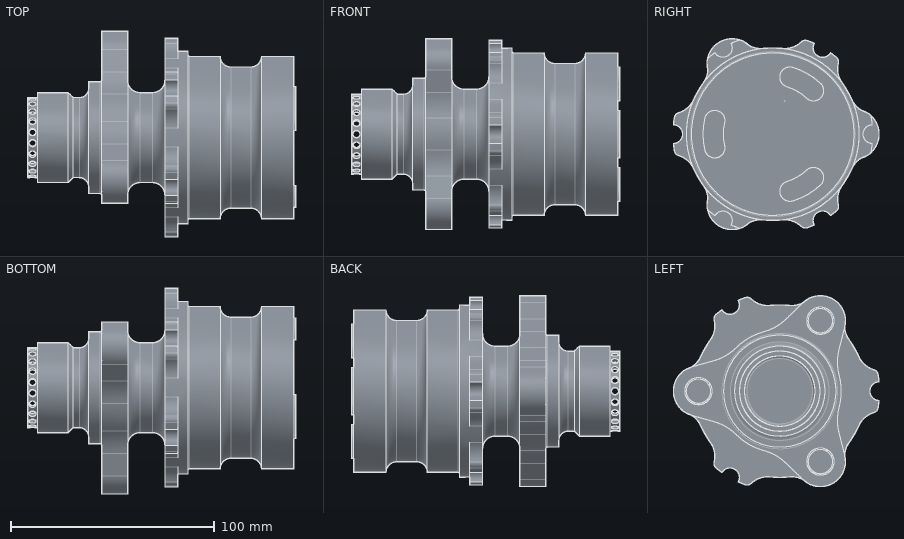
import cadquery as cq
import math

BARE_END = 4.9
SLEEVE_END = 20.0
HUB_START = 30.0
FLANGE_START = 36.5
FLANGE_END = 49.3
RING_START = 67.5
RING_END = 74.0
COLLAR_END = 79.0
GROOVE_START = 94.8
GROOVE_END = 115.0
BODY_END = 131.0
OVERALL_LENGTH = 132.03

BARE_RADIUS = 19.75
SLEEVE_RADIUS = 22.2
HUB_RADIUS = 27.6
COLLAR_RADIUS = 42.5
BARREL_RADIUS = 40.0

SLEEVE_NECK_FILLET = 4.5
HUB_FILLET = 0.8
WAIST_FILLET = 6.0
COLLAR_FILLET = 0.6
GROOVE_FILLET = 5.2
GROOVE_RADIUS = BARREL_RADIUS - GROOVE_FILLET

BORE_RADIUS = 17.3
BORE_DEPTH = FLANGE_START
BORE_FLOOR_FILLET = 1.2
RADIAL_HOLE_COUNT = 22
RADIAL_HOLE_DIAMETER = 3.4
RADIAL_HOLE_START_RADIUS = 14.0
RADIAL_HOLE_X = BARE_END / 2

LUG_COUNT = 3
LUG_CIRCLE_RADIUS = 40.0
LUG_RADIUS = 12.37
LUG_WEB_RADIUS = 30.25
LUG_BLEND_RADIUS = 25.0
LUG_BLEND_ANGLE = 45.0
LUG_HOLE_RADIUS = 6.0
LUG_HOLE_CHAMFER = 0.7
LUG_HOLE_DEPTH = 10.0

TOOTH_COUNT = 6
TOOTH_TIP_RADIUS = 49.12
TOOTH_ROOT_HALF_ANGLE = 23.7
TOOTH_FLANK_RADIUS = 11.7
TOOTH_CORNER_RADIUS = 3.0
TOOTH_NOTCH_RADIUS = 4.6
TOOTH_NOTCH_CIRCLE_RADIUS = 49.0

PAD_COUNT = 3
PAD_CIRCLE_RADIUS = 29.3
PAD_HALF_WIDTH = 5.0
PAD_HALF_ANGLE = 13.2


def polar(radius, angle, center=(0.0, 0.0)):
    """Point in the YZ plane at an angle measured from +Y towards +Z."""
    turn = math.radians(angle)
    return (center[0] + radius * math.cos(turn), center[1] + radius * math.sin(turn))


def spun(shape, angle):
    """Shape turned about the X axis."""
    return shape.rotate((0, 0, 0), (1, 0, 0), angle)


def around_axis(shape, count):
    """The shape joined with its evenly spaced copies about the X axis."""
    pattern = shape
    for index in range(1, count):
        pattern = pattern.union(spun(shape, index * 360 / count))
    return pattern


def section(x):
    """Workplane across the axis at station x, with local axes Y and Z."""
    return cq.Workplane("YZ", origin=(x, 0, 0))


def mirrored(point):
    """Point reflected across the local Y axis."""
    return (point[0], -point[1])


def heading(start, end):
    """Angle in degrees of the direction from start to end."""
    return math.degrees(math.atan2(end[1] - start[1], end[0] - start[0]))


def opening_angle(side_a, side_b, opposite):
    """Angle in degrees between two sides of a triangle, given the opposite side."""
    return math.degrees(math.acos((side_a**2 + side_b**2 - opposite**2) / (2 * side_a * side_b)))


def turned_body():
    """Stepped shaft, waist, collar and grooved barrel, revolved about X."""
    neck_cone_end = SLEEVE_END + SLEEVE_RADIUS - BARE_RADIUS
    bend = math.sqrt(0.5)

    def fillet_up(outline, x, radius, size):
        """Quarter fillet rising from the given radius to a wall at x on the +X side."""
        middle = (x - size + size * bend, radius + size - size * bend)
        return outline.lineTo(x - size, radius).threePointArc(middle, (x, radius + size))

    def fillet_down(outline, x, radius, size):
        """Quarter fillet from the point (x, radius + size), falling to the given radius."""
        middle = (x + size - size * bend, radius + size - size * bend)
        return outline.threePointArc(middle, (x + size, radius))

    outline = cq.Workplane("XY").lineTo(0, BARE_RADIUS)
    outline = outline.lineTo(BARE_END, BARE_RADIUS).lineTo(BARE_END, SLEEVE_RADIUS)
    outline = outline.lineTo(SLEEVE_END, SLEEVE_RADIUS).lineTo(neck_cone_end, BARE_RADIUS)
    outline = fillet_up(outline, HUB_START, BARE_RADIUS, SLEEVE_NECK_FILLET)
    outline = outline.lineTo(HUB_START, HUB_RADIUS)
    outline = fillet_up(outline, FLANGE_START, HUB_RADIUS, HUB_FILLET)
    outline = outline.lineTo(FLANGE_START, LUG_WEB_RADIUS).lineTo(FLANGE_END, LUG_WEB_RADIUS)
    outline = outline.lineTo(FLANGE_END, SLEEVE_RADIUS + WAIST_FILLET)
    outline = fillet_down(outline, FLANGE_END, SLEEVE_RADIUS, WAIST_FILLET)
    outline = fillet_up(outline, RING_START, SLEEVE_RADIUS, WAIST_FILLET)
    outline = outline.lineTo(RING_START, COLLAR_RADIUS).lineTo(COLLAR_END, COLLAR_RADIUS)
    outline = outline.lineTo(COLLAR_END, BARREL_RADIUS + COLLAR_FILLET)
    outline = fillet_down(outline, COLLAR_END, BARREL_RADIUS, COLLAR_FILLET)
    outline = outline.lineTo(GROOVE_START, BARREL_RADIUS)
    outline = fillet_down(outline, GROOVE_START, GROOVE_RADIUS, GROOVE_FILLET)
    outline = fillet_up(outline, GROOVE_END, GROOVE_RADIUS, GROOVE_FILLET)
    outline = outline.lineTo(BODY_END, BARREL_RADIUS).lineTo(BODY_END, 0).close()
    return outline.revolve(360, (0, 0, 0), (1, 0, 0))


def bore():
    """Blind bore with a rounded floor corner."""
    hole = section(0).circle(BORE_RADIUS).extrude(BORE_DEPTH)
    return hole.faces(">X").edges().fillet(BORE_FLOOR_FILLET)


def radial_holes():
    """Drills through the wall of the bare end, one of them pointing along -Y."""
    drill = (
        cq.Workplane("XZ", origin=(RADIAL_HOLE_X, -RADIAL_HOLE_START_RADIUS, 0))
        .circle(RADIAL_HOLE_DIAMETER / 2)
        .extrude(SLEEVE_RADIUS - RADIAL_HOLE_START_RADIUS)
    )
    return around_axis(drill, RADIAL_HOLE_COUNT)


def lug_flange():
    """Flange whose straight-sided lugs flow into the round web through concave arcs."""
    lug_center = (LUG_CIRCLE_RADIUS, 0.0)
    blend_center = polar(LUG_WEB_RADIUS + LUG_BLEND_RADIUS, LUG_BLEND_ANGLE)
    centers_distance = math.dist(lug_center, blend_center)
    side_tilt = math.degrees(math.acos((LUG_RADIUS + LUG_BLEND_RADIUS) / centers_distance))
    side_normal_angle = heading(lug_center, blend_center) - side_tilt
    blend_middle_angle = 180 + (LUG_BLEND_ANGLE + side_normal_angle) / 2

    lug_tangent = polar(LUG_RADIUS, side_normal_angle, lug_center)
    blend_start = polar(LUG_BLEND_RADIUS, side_normal_angle + 180, blend_center)
    blend_middle = polar(LUG_BLEND_RADIUS, blend_middle_angle, blend_center)
    web_tangent = polar(LUG_WEB_RADIUS, LUG_BLEND_ANGLE)

    thickness = FLANGE_END - FLANGE_START
    lug = (
        section(FLANGE_START)
        .moveTo(*mirrored(web_tangent))
        .threePointArc(mirrored(blend_middle), mirrored(blend_start))
        .lineTo(*mirrored(lug_tangent))
        .threePointArc((LUG_CIRCLE_RADIUS + LUG_RADIUS, 0), lug_tangent)
        .lineTo(*blend_start)
        .threePointArc(blend_middle, web_tangent)
        .lineTo(0, 0)
        .close()
        .extrude(thickness)
    )
    hole = section(FLANGE_START).center(*lug_center).circle(LUG_HOLE_RADIUS).extrude(LUG_HOLE_DEPTH)
    countersink = (
        section(FLANGE_START)
        .center(*lug_center)
        .circle(LUG_HOLE_RADIUS + LUG_HOLE_CHAMFER)
        .workplane(offset=LUG_HOLE_CHAMFER)
        .circle(LUG_HOLE_RADIUS)
        .loft(combine=True)
    )
    return around_axis(lug.cut(hole).cut(countersink), LUG_COUNT)


def toothed_ring():
    """Teeth with concave flanks, rounded tip corners and a round notch in each tip."""
    thickness = RING_END - RING_START
    to_flank = COLLAR_RADIUS + TOOTH_FLANK_RADIUS
    to_corner = TOOTH_TIP_RADIUS - TOOTH_CORNER_RADIUS
    flank_to_corner = TOOTH_FLANK_RADIUS + TOOTH_CORNER_RADIUS
    flank_center = polar(to_flank, TOOTH_ROOT_HALF_ANGLE)
    corner_angle = TOOTH_ROOT_HALF_ANGLE - opening_angle(to_flank, to_corner, flank_to_corner)
    corner_center = polar(to_corner, corner_angle)
    flank_end_angle = heading(flank_center, corner_center)
    flank_middle_angle = (TOOTH_ROOT_HALF_ANGLE - 180 + flank_end_angle) / 2
    corner_middle_angle = (corner_angle + flank_end_angle + 180) / 2

    root = polar(COLLAR_RADIUS, TOOTH_ROOT_HALF_ANGLE)
    flank_middle = polar(TOOTH_FLANK_RADIUS, flank_middle_angle, flank_center)
    flank_end = polar(TOOTH_FLANK_RADIUS, flank_end_angle, flank_center)
    corner_middle = polar(TOOTH_CORNER_RADIUS, corner_middle_angle, corner_center)
    tip_end = polar(TOOTH_TIP_RADIUS, corner_angle)

    tooth = (
        section(RING_START)
        .moveTo(*mirrored(root))
        .threePointArc(mirrored(flank_middle), mirrored(flank_end))
        .threePointArc(mirrored(corner_middle), mirrored(tip_end))
        .threePointArc((TOOTH_TIP_RADIUS, 0), tip_end)
        .threePointArc(corner_middle, flank_end)
        .threePointArc(flank_middle, root)
        .lineTo(0, 0)
        .close()
        .extrude(thickness)
    )
    notch = (
        section(RING_START)
        .center(TOOTH_NOTCH_CIRCLE_RADIUS, 0)
        .circle(TOOTH_NOTCH_RADIUS)
        .extrude(thickness)
    )
    return around_axis(tooth.cut(notch), TOOTH_COUNT)


def end_pads():
    """Curved slots raised from the end face, the first one centred on -Y."""
    outer_radius = PAD_CIRCLE_RADIUS + PAD_HALF_WIDTH
    inner_radius = PAD_CIRCLE_RADIUS - PAD_HALF_WIDTH
    first, last = 180 - PAD_HALF_ANGLE, 180 + PAD_HALF_ANGLE

    def rounded_end(angle, turn):
        """Outermost point of the round pad end at the given angle."""
        return polar(PAD_HALF_WIDTH, angle + turn, polar(PAD_CIRCLE_RADIUS, angle))

    pad = (
        section(BODY_END)
        .moveTo(*polar(outer_radius, first))
        .threePointArc(polar(outer_radius, 180), polar(outer_radius, last))
        .threePointArc(rounded_end(last, 90), polar(inner_radius, last))
        .threePointArc(polar(inner_radius, 180), polar(inner_radius, first))
        .threePointArc(rounded_end(first, -90), polar(outer_radius, first))
        .close()
        .extrude(OVERALL_LENGTH - BODY_END)
    )
    return around_axis(pad, PAD_COUNT)


result = (
    turned_body()
    .union(lug_flange())
    .union(toothed_ring())
    .union(end_pads())
    .cut(bore())
    .cut(radial_holes())
)